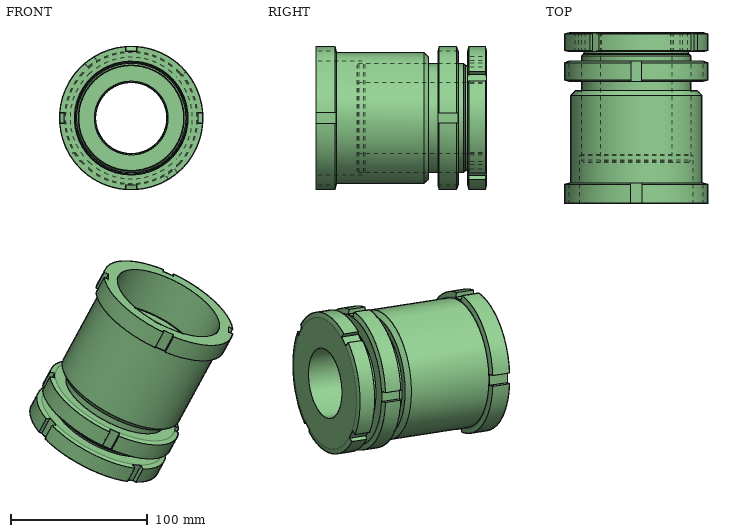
import cadquery as cq
total_length = 125.0
rim_radius = 52.5
rim_chamfer_length = 1.0
rim_chamfer_depth = 3.7
thread_radius = 40.0
notch_depth = 3.5
notch_count = 4

flange_width = 15.0
flange_notch_width = 8.2
barrel_radius = 48.0
barrel_end = 82.5
barrel_chamfer = 3.4
counterbore_radius = 41.6
counterbore_depth = 35.0
lead_in_chamfer = 0.9

nut_start = 89.2
nut_width = 15.0
nut_back_chamfer_length = 1.4
nut_notch_width = 7.5

sleeve_start = 30.0
thread_chamfer = 1.2
core_radius = 38.4
tip_length = 0.5
land_length = 0.5
neck_width = 1.4
bore_radius = 26.0
bore_chamfer = 1.0
head_width = 14.0
head_notch_width = 8.2
head_turn = 35.7


def revolve_profile(points):
    """Turn (radius, y) points around the Y axis."""
    return cq.Workplane("XY").polyline(points).close().revolve(360, (0, 0, 0), (0, 1, 0))


def cut_rim_notches(body, start, length, width, turn=0.0):
    """Cut axial spanner notches around a rim that begins at Y = start."""
    floor_radius = rim_radius - notch_depth
    notch = cq.Workplane("XY").box(
        2 * notch_depth, length, width, centered=(False, False, True)
    ).translate((floor_radius, start, 0))
    for index in range(notch_count):
        angle = turn + index * 360.0 / notch_count
        body = body.cut(notch.rotate((0, 0, 0), (0, 1, 0), -angle))
    return body


def make_housing():
    profile = [
        (counterbore_radius, 0),
        (rim_radius, 0),
        (rim_radius, flange_width - rim_chamfer_length),
        (rim_radius - rim_chamfer_depth, flange_width),
        (barrel_radius, flange_width),
        (barrel_radius, barrel_end - barrel_chamfer),
        (barrel_radius - barrel_chamfer, barrel_end),
        (thread_radius, barrel_end),
        (thread_radius, counterbore_depth + lead_in_chamfer),
        (thread_radius + lead_in_chamfer, counterbore_depth),
        (counterbore_radius, counterbore_depth),
    ]
    return cut_rim_notches(revolve_profile(profile), 0, flange_width, flange_notch_width)


def make_lock_nut():
    nut_end = nut_start + nut_width
    profile = [
        (thread_radius, nut_start),
        (rim_radius - rim_chamfer_depth, nut_start),
        (rim_radius, nut_start + rim_chamfer_length),
        (rim_radius, nut_end - nut_back_chamfer_length),
        (rim_radius - rim_chamfer_depth, nut_end),
        (thread_radius, nut_end),
    ]
    return cut_rim_notches(revolve_profile(profile), nut_start, nut_width, nut_notch_width)


def make_sleeve():
    head_start = total_length - head_width
    neck_start = head_start - neck_width
    thread_start = sleeve_start + tip_length
    thread_end = neck_start - land_length
    land_radius = thread_radius - thread_chamfer
    profile = [
        (bore_radius, sleeve_start + bore_chamfer),
        (bore_radius + bore_chamfer, sleeve_start),
        (core_radius, sleeve_start),
        (core_radius, thread_start),
        (land_radius, thread_start),
        (thread_radius, thread_start + thread_chamfer),
        (thread_radius, thread_end - thread_chamfer),
        (land_radius, thread_end),
        (land_radius, neck_start),
        (core_radius, neck_start),
        (core_radius, head_start),
        (rim_radius - rim_chamfer_depth, head_start),
        (rim_radius, head_start + rim_chamfer_length),
        (rim_radius, total_length - rim_chamfer_length),
        (rim_radius - rim_chamfer_depth, total_length),
        (bore_radius, total_length),
    ]
    sleeve = revolve_profile(profile)
    return cut_rim_notches(sleeve, head_start, head_width, head_notch_width, head_turn)


housing = make_housing()
lock_nut = make_lock_nut()
sleeve = make_sleeve()

result = cq.Compound.makeCompound([housing.val(), lock_nut.val(), sleeve.val()])